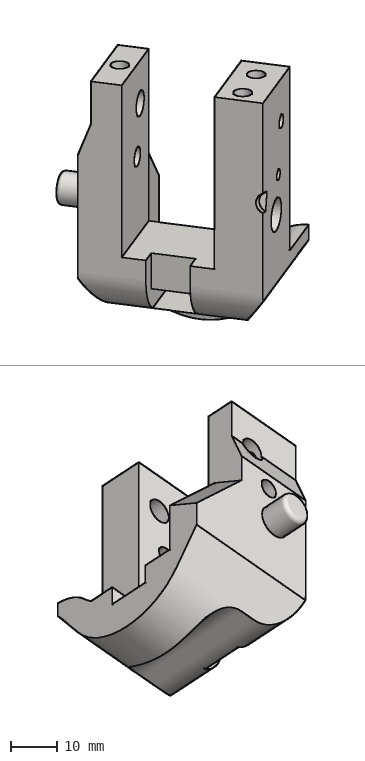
import cadquery as cq
import math


BODY_WIDTH = 42.0
BODY_DEPTH = 34.0
BODY_HEIGHT = 63.85
TOWER_DEPTH = 20.0

SLOT_LEFT = 10.0
SLOT_RIGHT = 31.05
SLOT_FLOOR = 22.85

RELIEF_INSET = 3.0
RELIEF_TOP = 53.7
RELIEF_BOTTOM = 45.85

KEEL_RADIUS = 18.2
KEEL_SIDE_ANGLE = math.radians(35.0)
FRONT_ROUND = 10.0
FOOT_DEPTH = 12.0
FOOT_ROUND = 8.0

CHANNEL_CENTER = 20.5
CHANNEL_WIDTH = 10.0
CHANNEL_FLOOR = 9.3
NOTCH_DEPTH = 4.0

REAR_FLOOR = 14.4
LEFT_EAR_WIDTH = 8.1
LEFT_EAR_START = 38.7
LEFT_EAR_RISE = 4.4
RIGHT_EAR_FOOT = 31.85
RIGHT_EAR_BEND = (34.2, 16.6)
RIGHT_EAR_TOP = 20.1
RIGHT_EAR_LAND = 0.25
RIGHT_EAR_RADIUS = 11.25
RIGHT_EAR_FOOT_BULGE = 0.05

UPPER_HOLE_YZ = (13.6, 53.65)
UPPER_HOLE_DIAMETERS = (5.8, 3.1)
LOWER_HOLE_YZ = (11.5, 41.8)
LOWER_HOLE_DIAMETERS = (4.5, 2.5)
COUNTERBORE_DEPTH = 7.0
PIN_YZ = (9.85, 33.0)
PIN_DIAMETER = 7.6
PIN_LENGTH = 6.95
PIN_ROUND = 1.0

TOP_HOLE_DIAMETER = 4.1
TOP_HOLE_DEPTH = BODY_HEIGHT - UPPER_HOLE_YZ[1]
TOP_HOLES_XY = [(6.5, 10.0), (36.2, 4.0), (36.2, 14.0)]

EDGE_HOLE_XZ = (42.8, 40.0)
EDGE_HOLE_DIAMETER = 4.7
EDGE_HOLE_DEPTH = 2.55
EDGE_HOLE_TILT = 13.0


def box(x, y, z):
    """Box from its (low, high) range along each axis."""
    lengths = [high - low for low, high in (x, y, z)]
    return cq.Workplane().box(*lengths, centered=False).translate((x[0], y[0], z[0]))


def along_y(sketch, y_start, y_end):
    """Extrude an outline drawn in XZ from y_start to y_end."""
    return sketch.extrude(y_start - y_end).translate((0, y_start, 0))


def rod_along_x(yz, diameter, x_start, x_end):
    plane = cq.Workplane("YZ", origin=(x_start, 0, 0))
    return plane.center(*yz).circle(diameter / 2).extrude(x_end - x_start)


def front_profile():
    """Solid block with the sloping, rounded keel and the left arm relief."""
    middle = BODY_WIDTH / 2
    tangent_x = KEEL_RADIUS * math.cos(KEEL_SIDE_ANGLE)
    tangent_z = KEEL_RADIUS * (1 - math.sin(KEEL_SIDE_ANGLE))
    side_z = tangent_z + (middle - tangent_x) / math.tan(KEEL_SIDE_ANGLE)
    outline = (
        cq.Workplane("XZ")
        .moveTo(middle - tangent_x, tangent_z)
        .threePointArc((middle, 0), (middle + tangent_x, tangent_z))
        .lineTo(BODY_WIDTH, side_z)
        .lineTo(BODY_WIDTH, BODY_HEIGHT)
        .lineTo(RELIEF_INSET, BODY_HEIGHT)
        .lineTo(RELIEF_INSET, RELIEF_TOP)
        .lineTo(0, RELIEF_BOTTOM)
        .lineTo(0, side_z)
        .close()
    )
    return along_y(outline, 0, BODY_DEPTH)


def side_profile():
    """Block over the full width with the rounded lower front and the rear foot."""
    underside = FOOT_ROUND
    foot_front = BODY_DEPTH - FOOT_DEPTH
    return (
        cq.Workplane("YZ")
        .moveTo(0, BODY_HEIGHT)
        .lineTo(0, underside + FRONT_ROUND)
        .radiusArc((FRONT_ROUND, underside), -FRONT_ROUND)
        .lineTo(foot_front - FOOT_ROUND, underside)
        .radiusArc((foot_front, 0), FOOT_ROUND)
        .lineTo(BODY_DEPTH, 0)
        .lineTo(BODY_DEPTH, BODY_HEIGHT)
        .close()
        .extrude(BODY_WIDTH)
    )


def rear_clearance():
    """Space above the rear floor, between and above the ears."""
    bend_x, bend_z = RIGHT_EAR_BEND
    foot_middle_x = (RIGHT_EAR_FOOT + bend_x) / 2
    foot_middle_z = (REAR_FLOOR + bend_z) / 2
    outline = (
        cq.Workplane("XZ")
        .moveTo(LEFT_EAR_WIDTH, BODY_HEIGHT)
        .lineTo(LEFT_EAR_WIDTH, REAR_FLOOR)
        .lineTo(RIGHT_EAR_FOOT, REAR_FLOOR)
        .threePointArc(
            (foot_middle_x + RIGHT_EAR_FOOT_BULGE, foot_middle_z - RIGHT_EAR_FOOT_BULGE),
            RIGHT_EAR_BEND,
        )
        .radiusArc((BODY_WIDTH - RIGHT_EAR_LAND, RIGHT_EAR_TOP), RIGHT_EAR_RADIUS)
        .lineTo(BODY_WIDTH, RIGHT_EAR_TOP)
        .lineTo(BODY_WIDTH, BODY_HEIGHT)
        .close()
    )
    return along_y(outline, TOWER_DEPTH, BODY_DEPTH)


def left_ear_clearance():
    """Space above the left ear, swept down along the slope toward the back."""
    rear_length = BODY_DEPTH - TOWER_DEPTH
    drop = LEFT_EAR_START - SLOT_FLOOR
    corners = [
        (0, LEFT_EAR_START),
        (LEFT_EAR_WIDTH, LEFT_EAR_START + LEFT_EAR_RISE),
        (LEFT_EAR_WIDTH, BODY_HEIGHT + drop),
        (0, BODY_HEIGHT + drop),
    ]
    wire = cq.Wire.makePolygon([cq.Vector(x, TOWER_DEPTH, z) for x, z in corners], close=True)
    return cq.Workplane(cq.Solid.extrudeLinear(wire, [], cq.Vector(0, rear_length, -drop)))


def stepped_hole(yz, diameters):
    """Wide bore through the left arm and into the right arm, then a narrow bore right through."""
    wide, narrow = diameters
    bore = rod_along_x(yz, wide, 0, SLOT_RIGHT + COUNTERBORE_DEPTH)
    return bore.union(rod_along_x(yz, narrow, 0, BODY_WIDTH))


def edge_hole():
    """Slanted cylinder reaching equally far into the body and out past the front face."""
    x, z = EDGE_HOLE_XZ
    hole = cq.Workplane("XZ").circle(EDGE_HOLE_DIAMETER / 2).extrude(2 * EDGE_HOLE_DEPTH)
    hole = hole.translate((0, EDGE_HOLE_DEPTH, 0))
    return hole.rotate((0, 0, 0), (1, 0, 0), -EDGE_HOLE_TILT).translate((x, 0, z))


body = front_profile().intersect(side_profile())

body = body.cut(box((SLOT_LEFT, SLOT_RIGHT), (0, TOWER_DEPTH), (SLOT_FLOOR, BODY_HEIGHT)))
body = body.cut(rear_clearance())
body = body.cut(left_ear_clearance())

channel_x = (CHANNEL_CENTER - CHANNEL_WIDTH / 2, CHANNEL_CENTER + CHANNEL_WIDTH / 2)
body = body.cut(box(channel_x, (0, BODY_DEPTH), (CHANNEL_FLOOR, REAR_FLOOR)))
body = body.cut(box(channel_x, (0, NOTCH_DEPTH), (CHANNEL_FLOOR, SLOT_FLOOR)))

body = body.cut(stepped_hole(UPPER_HOLE_YZ, UPPER_HOLE_DIAMETERS))
body = body.cut(stepped_hole(LOWER_HOLE_YZ, LOWER_HOLE_DIAMETERS))
body = body.cut(rod_along_x(PIN_YZ, PIN_DIAMETER, SLOT_RIGHT, BODY_WIDTH))
for x, y in TOP_HOLES_XY:
    top = cq.Workplane(origin=(x, y, BODY_HEIGHT))
    body = body.cut(top.circle(TOP_HOLE_DIAMETER / 2).extrude(-TOP_HOLE_DEPTH))
body = body.cut(edge_hole())

pin = rod_along_x(PIN_YZ, PIN_DIAMETER, -PIN_LENGTH, SLOT_LEFT)
result = body.union(pin.faces("<X").edges().fillet(PIN_ROUND))